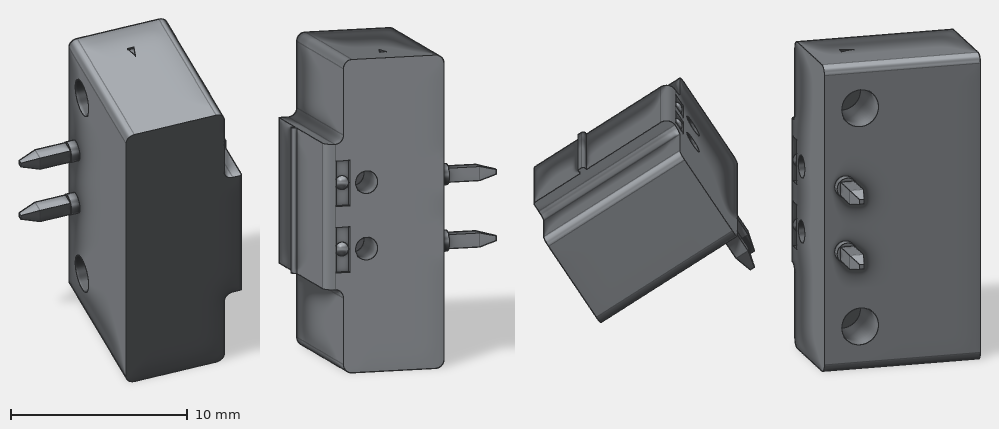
import cadquery as cq

body_length = 9.2
body_depth = 5.95
body_height = 18.01
edge_radius = 0.5

tongue_back = 7.0
tongue_height = 8.35
tongue_entry_radius = 0.6
tongue_far_radius = 0.13

rib_start = 5.62
rib_width = 0.41
rib_height = 0.23
rib_radius = 0.18

contact_offset = 1.91

window_front = 5.55
window_width = 0.81
window_height = 2.61
window_depth = 0.3
dome_radius = 0.4

test_hole_diameter = 1.3
test_hole_y = 4.57
test_hole_depth = 2.7

pin_x = 1.2
collar_diameter = 1.2
collar_length = 0.5
pin_side = 0.81
pin_tip_side = 0.27
taper_start = 2.35
pin_length = 3.4

mount_x = 2.1
mount_offset = 6.41
mount_diameter = 2.16
mount_depth = 3.6

arrow_x = 1.85
arrow_y = 3.05
arrow_length = 0.77
arrow_width = 0.4
arrow_depth = 0.1


def pin_plane(y):
    """Plane at depth y, facing away from the housing (-Y)."""
    return cq.Workplane("XZ", origin=(0, y, 0))


def make_housing():
    block = cq.Workplane("XY").box(body_length, body_depth, body_height, centered=(False, False, True))
    block = block.edges("|X").fillet(edge_radius)
    tongue = cq.Workplane("XY").box(body_length, tongue_back, tongue_height, centered=(False, False, True))
    tongue = tongue.edges("|Z and >Y and <X").fillet(tongue_entry_radius)
    tongue = tongue.edges("|Z and >Y and >X").fillet(tongue_far_radius)
    return block.union(tongue)


def make_tongue_root(side):
    """Concave blend between the tongue end and the back of the block; side is +1 or -1 in Z."""
    root_z = side * tongue_height / 2
    outer_z = root_z + side * edge_radius
    blend_y = body_depth + edge_radius
    midpoint_shift = edge_radius * 0.5 ** 0.5
    return (
        cq.Workplane("YZ")
        .moveTo(body_depth, root_z)
        .lineTo(blend_y, root_z)
        .threePointArc((blend_y - midpoint_shift, outer_z - side * midpoint_shift), (body_depth, outer_z))
        .close()
        .extrude(body_length)
    )


def make_rib():
    rib = cq.Workplane("XY").box(rib_width, 2 * rib_height, tongue_height, centered=(False, True, True))
    rib = rib.edges("|Z and >Y and <X").fillet(rib_radius)
    return rib.translate((rib_start, tongue_back, 0))


def make_window(z):
    window = cq.Workplane("XY").box(window_depth, window_width, window_height, centered=(False, False, True))
    return window.translate((0, window_front, z))


def make_dome(z):
    dome_y = window_front + window_width / 2
    return cq.Workplane("XY").sphere(dome_radius).translate((window_depth, dome_y, z))


def make_test_hole(z):
    entry_face = cq.Workplane("YZ")
    return entry_face.center(test_hole_y, z).circle(test_hole_diameter / 2).extrude(test_hole_depth)


def make_pin(z):
    collar = pin_plane(0).center(pin_x, z).circle(collar_diameter / 2).extrude(collar_length)
    shank = pin_plane(0).center(pin_x, z).rect(pin_side, pin_side).extrude(taper_start)
    tip = (
        pin_plane(-taper_start)
        .center(pin_x, z)
        .rect(pin_side, pin_side)
        .workplane(offset=pin_length - taper_start)
        .rect(pin_tip_side, pin_tip_side)
        .loft(ruled=True)
    )
    return collar.union(shank).union(tip)


def make_mount_hole(z):
    return pin_plane(0).center(mount_x, z).circle(mount_diameter / 2).extrude(-mount_depth)


def make_arrow():
    corners = [
        (arrow_x, arrow_y - arrow_width / 2),
        (arrow_x + arrow_length, arrow_y),
        (arrow_x, arrow_y + arrow_width / 2),
    ]
    top_face = cq.Workplane("XY", origin=(0, 0, body_height / 2))
    return top_face.polyline(corners).close().extrude(-arrow_depth)


result = make_housing().union(make_rib()).cut(make_arrow())
for side in (-1, 1):
    contact_z = side * contact_offset
    result = result.union(make_tongue_root(side))
    result = result.cut(make_mount_hole(side * mount_offset))
    result = result.cut(make_test_hole(contact_z))
    result = result.cut(make_window(contact_z))
    result = result.union(make_dome(contact_z))
    result = result.union(make_pin(contact_z))